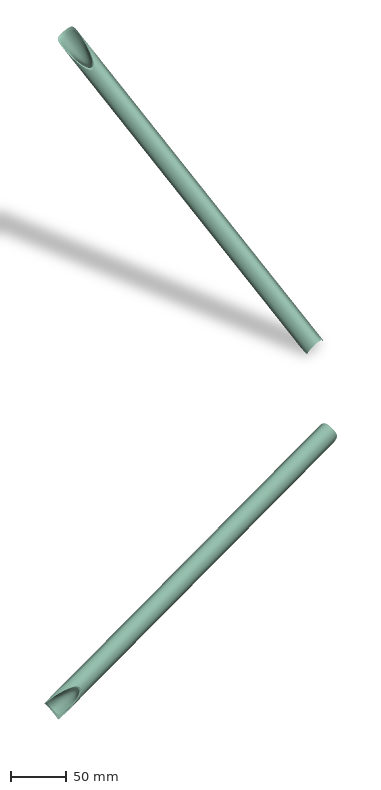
import cadquery as cq

outer_diameter = 20.0
wall = 1.0
upper_mate_diameter = 23.0

lower_joint = cq.Vector(0, 0, 0)
upper_joint = cq.Vector(-313.5, -25.0, 199.2)

lower_mate_axis = cq.Vector(1, 0, 0.02)
upper_mate_axis = cq.Vector(1, -0.15, -0.18)

outer_radius = outer_diameter / 2
inner_radius = outer_radius - wall
mate_length = 380


def make_tube():
    """Hollow tube running between the two joints."""
    span = upper_joint - lower_joint
    outer = cq.Solid.makeCylinder(outer_radius, span.Length, lower_joint, span)
    bore = cq.Solid.makeCylinder(inner_radius, span.Length, lower_joint, span)
    return cq.Workplane(obj=outer).cut(cq.Workplane(obj=bore))


def make_mate(joint, axis, diameter):
    """Solid cylinder filling the space of a mating tube, centred on its joint."""
    start = joint - axis.normalized() * (mate_length / 2)
    mate = cq.Solid.makeCylinder(diameter / 2, mate_length, start, axis)
    return cq.Workplane(obj=mate)


result = (
    make_tube()
    .cut(make_mate(lower_joint, lower_mate_axis, outer_diameter))
    .cut(make_mate(upper_joint, upper_mate_axis, upper_mate_diameter))
)